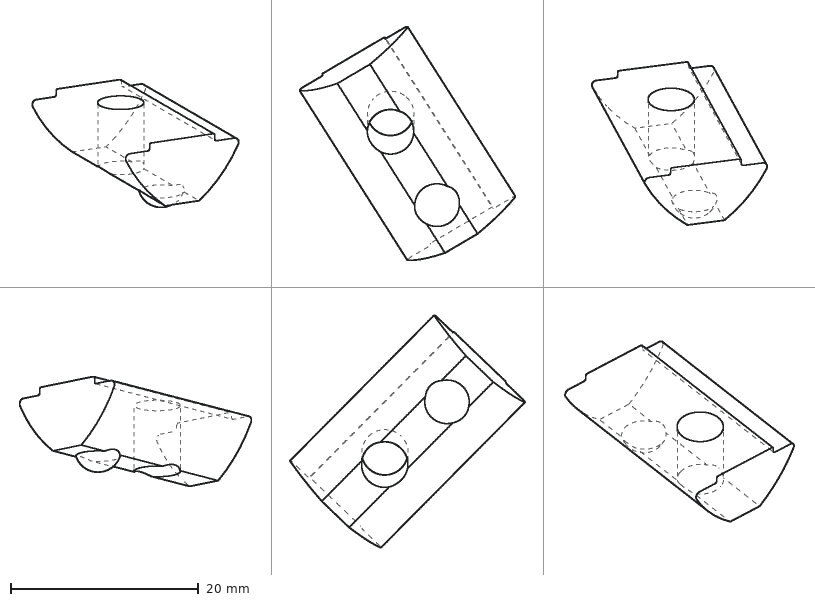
import cadquery as cq
import math

length = 22.0
overall_width = 13.5
overall_height = 8.95
body_height = 7.24

tongue_width = 7.8
tongue_height = 0.84
tongue_fillet = 0.22

lip_radius = 0.53
flank_radius = 16.5
flank_start_angle = math.radians(26.8)

hole_diameter = 4.93
hole_x = 7.52
ball_radius = 2.49
ball_x = 17.03


def point_on_arc(center, radius, angle):
    """Point (y, z) on a circle, with the angle measured downward from +Y."""
    return (center[0] + radius * math.cos(angle), center[1] - radius * math.sin(angle))


def make_body():
    """Extrude half of the cross-section and mirror it across the XZ plane."""
    half_tongue = tongue_width / 2
    lip_center = (overall_width / 2 - lip_radius, -tongue_height - lip_radius)

    flank_center = point_on_arc(lip_center, lip_radius - flank_radius, flank_start_angle)
    flank_end_angle = math.asin((flank_center[1] + body_height) / flank_radius)
    flank_middle_angle = (flank_start_angle + flank_end_angle) / 2

    half = (
        cq.Workplane("YZ")
        .lineTo(half_tongue, 0)
        .lineTo(half_tongue, -tongue_height)
        .lineTo(lip_center[0], -tongue_height)
        .threePointArc(
            point_on_arc(lip_center, lip_radius, 0),
            point_on_arc(lip_center, lip_radius, flank_start_angle),
        )
        .threePointArc(
            point_on_arc(flank_center, flank_radius, flank_middle_angle),
            point_on_arc(flank_center, flank_radius, flank_end_angle),
        )
        .lineTo(0, -body_height)
        .close()
        .extrude(length)
    )
    body = half.union(half.mirror("XZ")).clean()

    for side in (-1, 1):
        for z in (0, -tongue_height):
            edge_point = (length / 2, side * half_tongue, z)
            body = body.edges(cq.NearestToPointSelector(edge_point)).fillet(tongue_fillet)
    return body


def make_ball():
    """Ball partly sunk into the underside, reaching the overall height."""
    ball_z = ball_radius - overall_height
    return cq.Workplane("XY").sphere(ball_radius).translate((ball_x, 0, ball_z))


def make_hole():
    """Cutter for the vertical through hole."""
    return (
        cq.Workplane("XY")
        .center(hole_x, 0)
        .circle(hole_diameter / 2)
        .extrude(-body_height)
    )


result = make_body().union(make_ball()).cut(make_hole())